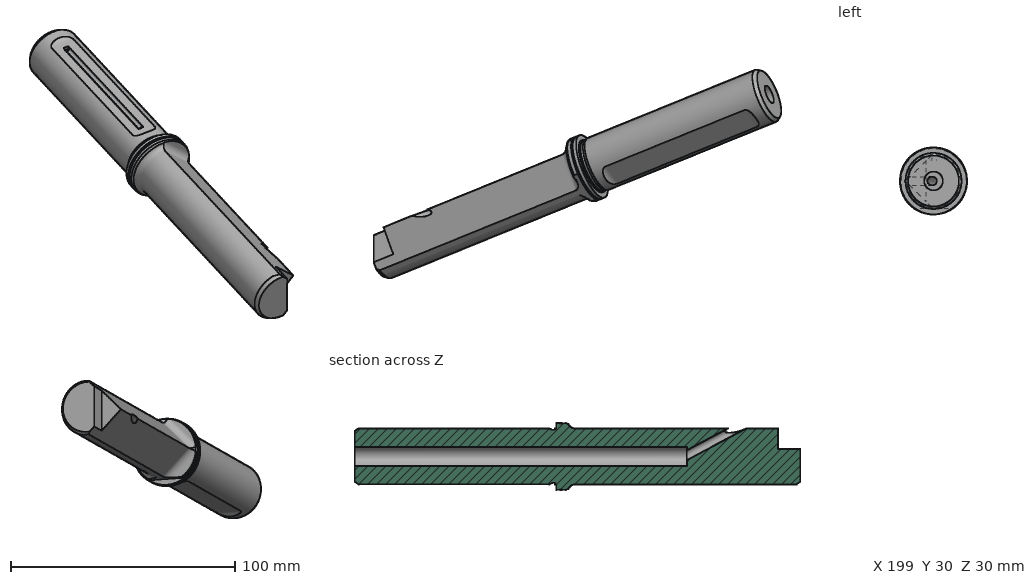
import cadquery as cq
import math

length = 199.0
bar_radius = 12.5
end_chamfer_length = 1.8
end_chamfer_depth = 1.2
margin = 10.0

collar_radius = 30.0 / 2
collar_start = 90.0
flange_end = 91.7
collar_rim_end = 94.3
root_fillet = 3.4
root_end = 98.5
root_rim_angle = math.radians(25)
rim_groove_width = 0.8
rim_groove_depth = 0.2

relief_start = 87.0
relief_taper = 1.2
relief_depth = 0.5
relief_lip = 0.5

flat_level = 11.1
flat_start = 9.8
flat_end = 80.0
flat_runout = 3.0

slot_start = 12.3
slot_end = 77.6
slot_width = 2.4
slot_pocket_length = 1.2
slot_pocket_depth = 1.5

bar_flat_depth = 0.3
bar_flat_level = bar_radius - bar_flat_depth
chord_level = bar_radius / math.sqrt(2)
ridge_tilts = (45, 135)

tip_step_start = 189.0
tip_step_y = 3.4

bore_diameter = 8.4
outlet_diameter = 3.8
outlet_angle = 28.0
outlet_x = 170.7
outlet_offset = 0.5
outlet_root_x = outlet_x - bar_radius / math.tan(math.radians(outlet_angle))
bore_depth = outlet_root_x + outlet_offset / math.tan(math.radians(outlet_angle))


def turned_body():
    """Revolve the shank, relief groove, collar and bar about the X axis."""
    root_x = root_end - root_fillet * math.cos(root_rim_angle)
    root_r = bar_radius + root_fillet * (1 - math.sin(root_rim_angle))
    mid_angle = (root_rim_angle + math.pi / 2) / 2
    root_mid_x = root_end - root_fillet * math.cos(mid_angle)
    root_mid_r = bar_radius + root_fillet * (1 - math.sin(mid_angle))
    end_radius = bar_radius - end_chamfer_depth
    relief_radius = bar_radius - relief_depth
    groove_radius = collar_radius - rim_groove_depth
    return (
        cq.Workplane("XY")
        .moveTo(0, 0)
        .lineTo(0, end_radius)
        .lineTo(end_chamfer_length, bar_radius)
        .lineTo(relief_start, bar_radius)
        .lineTo(relief_start + relief_taper, relief_radius)
        .lineTo(collar_start - relief_lip, relief_radius)
        .lineTo(collar_start - relief_lip, bar_radius)
        .lineTo(collar_start, bar_radius)
        .lineTo(collar_start, collar_radius)
        .lineTo(flange_end, collar_radius)
        .lineTo(flange_end, groove_radius)
        .lineTo(flange_end + rim_groove_width, groove_radius)
        .lineTo(flange_end + rim_groove_width, collar_radius)
        .lineTo(collar_rim_end, collar_radius)
        .lineTo(root_x, root_r)
        .threePointArc((root_mid_x, root_mid_r), (root_end, bar_radius))
        .lineTo(length - end_chamfer_length, bar_radius)
        .lineTo(length, end_radius)
        .lineTo(length, 0)
        .close()
        .revolve(360, (0, 0, 0), (1, 0, 0))
    )


def box(x_start, x_end, y_start, y_end, z_start, z_end):
    """Box between the given limits on each axis."""
    size = (x_end - x_start, y_end - y_start, z_end - z_start)
    return cq.Workplane("XY").box(*size, centered=False).translate((x_start, y_start, z_start))


def clamping_flat():
    """Cutter for the upper flat, running out of the shank in an arc at each end."""
    depth = bar_radius - flat_level
    arc_radius = (flat_runout**2 + depth**2) / (2 * depth)
    top_level = flat_level + 2 * arc_radius
    tool = box(flat_start - arc_radius, flat_end + arc_radius, -bar_radius, bar_radius, flat_level, top_level)
    return tool.edges("|Y and <Z").fillet(arc_radius)


def clamping_slot():
    """Round-bottomed slot with a short square pocket at each end."""
    slot = (
        cq.Workplane("YZ", origin=(slot_start, 0, flat_level))
        .circle(slot_width / 2)
        .extrude(slot_end - slot_start)
    )
    for pocket_start in (slot_start, slot_end - slot_pocket_length):
        slot = slot.union(
            box(
                pocket_start,
                pocket_start + slot_pocket_length,
                -slot_width / 2,
                slot_width / 2,
                flat_level - slot_pocket_depth,
                bar_radius,
            )
        )
    return slot


def bar_face(level, tilt):
    """Cutter for a long face at a distance from the axis, tilted from +Z towards +Y."""
    half_span = 2 * bar_radius
    tool = box(root_end - root_fillet, length + margin, -half_span, half_span, level, level + margin)
    tool = tool.edges("|Y and <X and <Z").fillet(root_fillet)
    return tool.rotate((0, 0, 0), (1, 0, 0), -tilt)


def outlet():
    """Oblique hole from the end of the bore to the ridge of the bar on the +Y side."""
    angle = math.radians(outlet_angle)
    direction = cq.Vector(math.cos(angle), math.sin(angle), 0)
    start = cq.Vector(outlet_root_x, 0, 0)
    run = bar_radius / math.sin(angle) + margin
    return cq.Workplane(cq.Solid.makeCylinder(outlet_diameter / 2, run, start, direction))


result = turned_body()

upper_flat = clamping_flat()
result = result.cut(upper_flat).cut(upper_flat.mirror("XY")).cut(clamping_slot())

result = result.cut(bar_face(bar_flat_level, 0))
for tilt in ridge_tilts:
    result = result.cut(bar_face(chord_level, tilt))

underside_start = flange_end + rim_groove_width
reach = collar_radius + margin
result = result.cut(box(underside_start, length + margin, -reach, reach, -reach, -bar_flat_level))

result = result.cut(box(tip_step_start, length + margin, tip_step_y, reach, -reach, reach))

bore = cq.Workplane("YZ").circle(bore_diameter / 2).extrude(bore_depth)
result = result.cut(bore).cut(outlet())